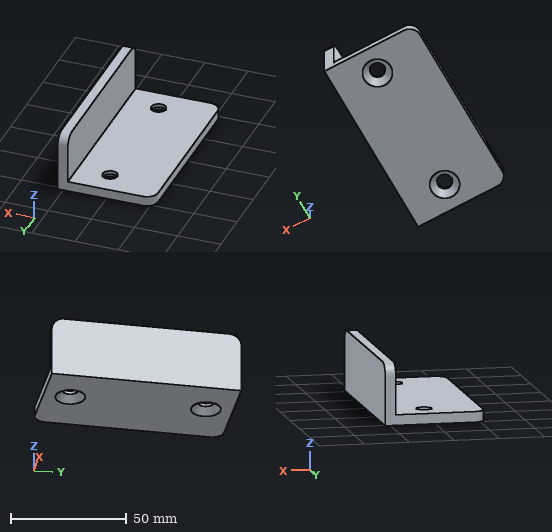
import cadquery as cq

depth = 44.7
length = 83.75
height = 27.5

thickness = 4.8
corner_radius = 5.2

hole_diameter = 6.6
countersink_diameter = 13.0
countersink_angle = 90
hole_spacing = 60.0
hole_from_free_edge = 24.9

base = (
    cq.Workplane("XY")
    .box(depth, length, thickness, centered=(False, True, False))
    .edges("|Z and <X")
    .fillet(corner_radius)
)

wall = (
    cq.Workplane("XY")
    .box(thickness, length, height, centered=(False, True, False))
    .edges("|X and >Z")
    .fillet(corner_radius)
    .translate((depth - thickness, 0, 0))
)

hole_centers = [(hole_from_free_edge, side * hole_spacing / 2) for side in (-1, 1)]
drilled_base = (
    base.faces("<Z")
    .workplane(origin=(0, 0, 0))
    .pushPoints(hole_centers)
    .cskHole(hole_diameter, countersink_diameter, countersink_angle)
)

result = drilled_base.union(wall)